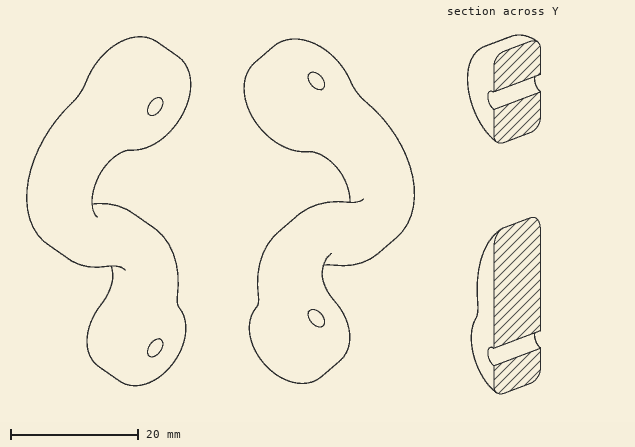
import cadquery as cq
import math

THICKNESS = 9.0
HEIGHT = 63.4
EDGE_ROUND = 2.0
HOLE_DIAMETER = 3.2

UPPER_END_RADIUS = 8.5
LOWER_END_RADIUS = 7.5
LOWER_END = (0.0, 0.0)
UPPER_END = (0.0, HEIGHT - UPPER_END_RADIUS - LOWER_END_RADIUS)

ARM_WIDTH = 8.0
UPPER_INNER_RADIUS = 7.5
UPPER_OUTER_RADIUS = UPPER_INNER_RADIUS + ARM_WIDTH
LOWER_INNER_RADIUS = 10.5
LOWER_OUTER_RADIUS = LOWER_INNER_RADIUS + ARM_WIDTH
UPPER_BEND_Y = -4.5
UPPER_BEND_DROP = 13.0
LOWER_BEND_Y = -12.6
BEND_SPACING = UPPER_OUTER_RADIUS + LOWER_INNER_RADIUS

UPPER_BEND = (UPPER_BEND_Y, UPPER_END[1] - UPPER_BEND_DROP)
LOWER_BEND = (
    LOWER_BEND_Y,
    UPPER_BEND[1] - math.sqrt(BEND_SPACING**2 - (LOWER_BEND_Y - UPPER_BEND_Y) ** 2),
)

BLEND_RADIUS = 5.0


def point_towards(center, target, radius):
    """Point at the given radius from center, in the direction of target."""
    distance = math.dist(center, target)
    return tuple(c + radius * (t - c) / distance for c, t in zip(center, target))


def circle_crossing(center_a, radius_a, center_b, radius_b):
    """Crossing of two circles that lies to the left when going from a to b."""
    distance = math.dist(center_a, center_b)
    along = (distance**2 + radius_a**2 - radius_b**2) / (2 * distance)
    aside = math.sqrt(radius_a**2 - along**2)
    unit_y = (center_b[0] - center_a[0]) / distance
    unit_z = (center_b[1] - center_a[1]) / distance
    return (
        center_a[0] + along * unit_y - aside * unit_z,
        center_a[1] + along * unit_z + aside * unit_y,
    )


def arc_middle(center, start, end, major=False):
    """Middle point of the minor (or major) arc from start to end."""
    chord_middle = tuple((s + e) / 2 for s, e in zip(start, end))
    radius = math.dist(center, start)
    return point_towards(center, chord_middle, -radius if major else radius)


def link_outline():
    """Closed outline of the link, made only of tangent arcs."""
    upper_reach = UPPER_END_RADIUS + BLEND_RADIUS
    lower_reach = LOWER_END_RADIUS + BLEND_RADIUS

    upper_outer_blend = circle_crossing(
        UPPER_BEND, UPPER_OUTER_RADIUS + BLEND_RADIUS, UPPER_END, upper_reach
    )
    upper_inner_blend = circle_crossing(
        UPPER_BEND, UPPER_INNER_RADIUS - BLEND_RADIUS, UPPER_END, upper_reach
    )
    lower_outer_blend = circle_crossing(
        LOWER_BEND, LOWER_OUTER_RADIUS + BLEND_RADIUS, LOWER_END, lower_reach
    )
    lower_inner_blend = circle_crossing(
        LOWER_BEND, LOWER_INNER_RADIUS - BLEND_RADIUS, LOWER_END, lower_reach
    )

    start = point_towards(UPPER_END, upper_outer_blend, UPPER_END_RADIUS)
    arcs = [
        (UPPER_END, point_towards(UPPER_END, upper_inner_blend, UPPER_END_RADIUS), True),
        (upper_inner_blend, point_towards(UPPER_BEND, upper_inner_blend, UPPER_INNER_RADIUS), False),
        (UPPER_BEND, point_towards(UPPER_BEND, LOWER_BEND, UPPER_INNER_RADIUS), False),
        (LOWER_BEND, point_towards(LOWER_BEND, lower_outer_blend, LOWER_OUTER_RADIUS), False),
        (lower_outer_blend, point_towards(LOWER_END, lower_outer_blend, LOWER_END_RADIUS), False),
        (LOWER_END, point_towards(LOWER_END, lower_inner_blend, LOWER_END_RADIUS), True),
        (lower_inner_blend, point_towards(LOWER_BEND, lower_inner_blend, LOWER_INNER_RADIUS), False),
        (LOWER_BEND, point_towards(LOWER_BEND, UPPER_BEND, LOWER_INNER_RADIUS), False),
        (UPPER_BEND, point_towards(UPPER_BEND, upper_outer_blend, UPPER_OUTER_RADIUS), False),
        (upper_outer_blend, start, False),
    ]
    outline = cq.Workplane("YZ").moveTo(*start)
    arc_start = start
    for center, arc_end, major in arcs:
        outline = outline.threePointArc(arc_middle(center, arc_start, arc_end, major), arc_end)
        arc_start = arc_end
    return outline.close()


body = link_outline().extrude(THICKNESS / 2, both=True)
body = body.faces("<X or >X").edges().fillet(EDGE_ROUND)

holes = (
    cq.Workplane("YZ")
    .pushPoints([UPPER_END, LOWER_END])
    .circle(HOLE_DIAMETER / 2)
    .extrude(THICKNESS, both=True)
)
result = body.cut(holes)